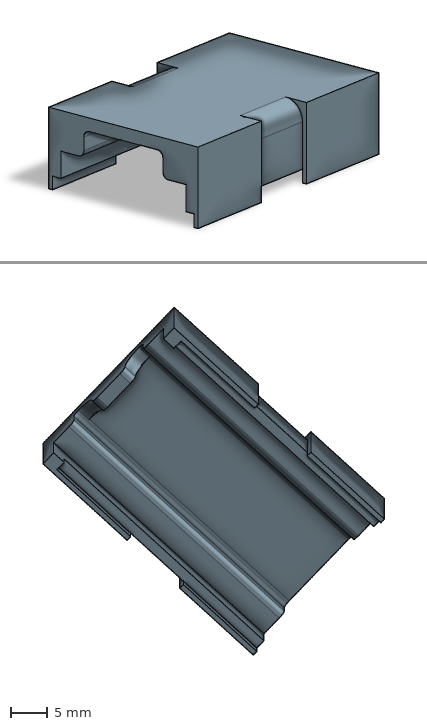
import cadquery as cq

width = 26.6
length = 39.95
height = 12.0
half_width = width / 2
front = -length / 2
back = length / 2

leg_thickness = 2.15
shelf_height = 6.0
roof_thickness = 2.0
channel_width = 14.05
edge_radius = 1.0

skin_thickness = 0.7
lip_height = 2.0
end_thickness = 2.0

rib_width = 6.65

recess_length = 10.0
recess_from_front = 13.98
recess_round_radius = 3.0

ceiling = height - roof_thickness
half_channel = channel_width / 2
half_rib = rib_width / 2
rib_flare_radius = ceiling - shelf_height - edge_radius


def box(x_min, x_max, y_min, y_max, z_min, z_max):
    """Box given by its limits along each axis."""
    size = (x_max - x_min, y_max - y_min, z_max - z_min)
    return cq.Workplane("XY").box(*size, centered=False).translate((x_min, y_min, z_min))


def extrude_along_y(outline, y_min, y_max):
    """Extrude an XZ outline between two Y positions."""
    return outline.extrude(y_min - y_max).translate((0, y_min, 0))


def channel():
    """Full-length channel with rounded upper corners and rounded mouth edges."""
    outline = (
        cq.Workplane("XZ")
        .moveTo(-half_channel - edge_radius, shelf_height)
        .radiusArc((-half_channel, shelf_height + edge_radius), -edge_radius)
        .lineTo(-half_channel, ceiling - edge_radius)
        .radiusArc((-half_channel + edge_radius, ceiling), edge_radius)
        .lineTo(half_channel - edge_radius, ceiling)
        .radiusArc((half_channel, ceiling - edge_radius), edge_radius)
        .lineTo(half_channel, shelf_height + edge_radius)
        .radiusArc((half_channel + edge_radius, shelf_height), -edge_radius)
        .close()
    )
    return extrude_along_y(outline, front, back)


def rib():
    """Rib with rounded lower edges that run straight into wide fillets under the roof."""
    round_top = shelf_height + edge_radius
    half_flare = half_rib + rib_flare_radius
    outline = (
        cq.Workplane("XZ")
        .moveTo(-half_rib + edge_radius, shelf_height)
        .radiusArc((-half_rib, round_top), edge_radius)
        .radiusArc((-half_flare, ceiling), -rib_flare_radius)
        .lineTo(half_flare, ceiling)
        .radiusArc((half_rib, round_top), -rib_flare_radius)
        .radiusArc((half_rib - edge_radius, shelf_height), edge_radius)
        .close()
    )
    return extrude_along_y(outline, back - end_thickness, back)


def lip_notch():
    """Cut that leaves only a thin skin along the bottom of both legs."""
    half_notch = half_width - skin_thickness
    return box(-half_notch, half_notch, front, back - end_thickness, 0, lip_height)


def side_recess():
    """Recess in the -X side with a rounded upper edge left behind it."""
    y_min = front + recess_from_front
    recess_face = -half_width + skin_thickness
    outline = (
        cq.Workplane("XZ")
        .moveTo(-half_width, 0)
        .lineTo(recess_face, 0)
        .lineTo(recess_face, height - recess_round_radius)
        .radiusArc((recess_face + recess_round_radius, height), recess_round_radius)
        .lineTo(-half_width, height)
        .close()
    )
    return extrude_along_y(outline, y_min, y_min + recess_length)


half_opening = half_width - leg_thickness
opening = box(-half_opening, half_opening, front, back, 0, shelf_height)

result = box(-half_width, half_width, front, back, 0, height)
result = result.cut(opening)
result = result.cut(channel().cut(rib()))
result = result.cut(lip_notch())
left_recess = side_recess()
result = result.cut(left_recess).cut(left_recess.mirror("YZ"))